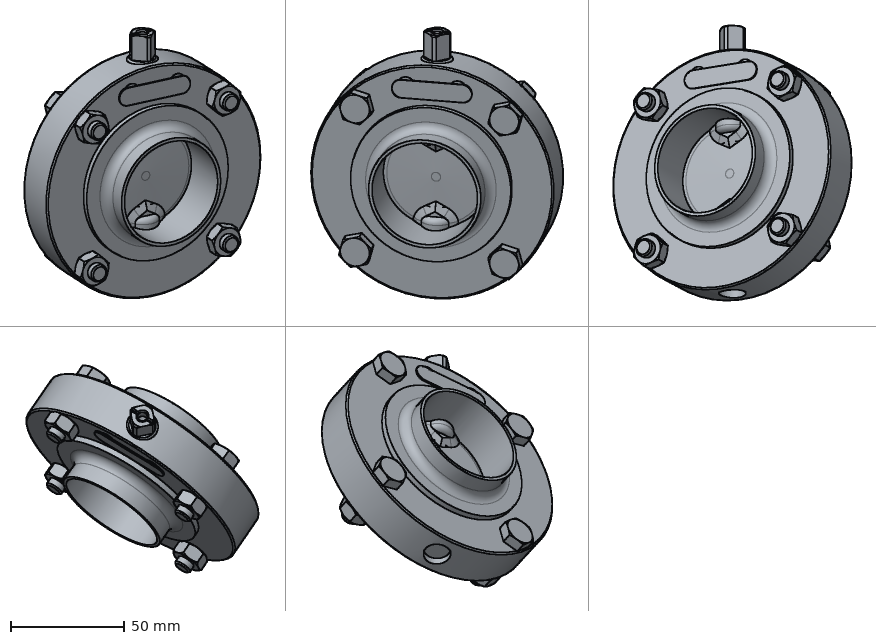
import cadquery as cq
import math


FLANGE_DIAMETER = 110.0
FLANGE_WIDTH = 20.6
FLANGE_CHAMFER = 0.7

HUB_DIAMETER = 72.5
HUB_WIDTH = 26.2
PIPE_DIAMETER = 50.8
PIPE_LENGTH = 50.0
PIPE_FILLET = 4.2
BORE_DIAMETER = 47.8

DISC_TIP_DIAMETER = 4.2
DISC_FACE_DIAMETER = 44.7
DISC_CENTRE_WIDTH = 5.4
DISC_RIM_WIDTH = 4.4
DISC_EDGE_WIDTH = 4.2

COLLAR_DIAMETER = 15.0
COLLAR_INNER_END = 18.5
COLLAR_ROUNDING = 2.7
COLLAR_OVERLAP = 0.6
GUSSET_HALF_WIDTH = 10.2
GUSSET_SHOULDER_HALF_WIDTH = 5.9
GUSSET_SHOULDER_HEIGHT = 14.8
GUSSET_ARC_HALF_WIDTH = 8.7
GUSSET_ARC_HEIGHT = 17.3
GUSSET_OUTER_HEIGHT = 20.3
GUSSET_TIP_HEIGHT = 11.5
GUSSET_TOP_HEIGHT = 28.2
GUSSET_ROOT_WIDTH = 4.8
GUSSET_WIDTH = 8.3
GUSSET_TAPER = 66

BOLT_COUNT = 4
FIRST_BOLT_ANGLE = 45
BOLT_CIRCLE_DIAMETER = 95.5
HEX_ACROSS_FLATS = 13.2
HEAD_END = -15.4
HEAD_CHAMFER = 0.4
NUT_END = 16.5
NUT_CHAMFER = 0.7
BOLT_DIAMETER = 8.0
BOLT_END = 20.2
BOLT_CHAMFER = 0.7

PAD_LENGTH = 36.3
PAD_HEIGHT = 8.5
PAD_CENTRE_Z = 43.2
PAD_TOTAL_WIDTH = 22.0
PIN_DIAMETER = 7.4
PIN_SPACING = 23.5
PIN_CENTRE_Z = 45.2
PIN_TOTAL_WIDTH = 20.8

TOTAL_HEIGHT = 122.5
STEM_TOP = TOTAL_HEIGHT - FLANGE_DIAMETER / 2
STEM_DIAMETER = 12.0
STEM_ACROSS_FLATS = 9.7
STEM_CHAMFER_WIDTH = 0.9
STEM_CHAMFER_HEIGHT = 0.6
STEM_HOLE_DIAMETER = 4.2
STEM_HOLE_DEPTH = 6.1
STEM_HOLE_TIP_DEPTH = 1.2
STEM_COUNTERSINK_DIAMETER = 5.6
STEM_GROOVE_WIDTH = 1.5
STEM_GROOVE_DEPTH = 0.9
BUSHING_DIAMETER = 14.2
BUSHING_TOP = 55.6
BUSHING_BASE_Z = 49.0
BOTTOM_HOLE_DEPTH = 3.7


def revolved_about_x(points):
    """Revolve a closed (x, radius) outline about the bore axis."""
    return cq.Workplane("XY").polyline(points).close().revolve(360, (0, 0, 0), (1, 0, 0))


def cylinder_x(diameter, start, end):
    return cq.Workplane("YZ").workplane(offset=start).circle(diameter / 2).extrude(end - start)


def make_body():
    flange = cylinder_x(FLANGE_DIAMETER, -FLANGE_WIDTH / 2, FLANGE_WIDTH / 2)
    flange = flange.faces("<X or >X").chamfer(FLANGE_CHAMFER)
    hub_x = HUB_WIDTH / 2
    hub_radius = HUB_DIAMETER / 2
    pipe_x = PIPE_LENGTH / 2
    pipe_radius = PIPE_DIAMETER / 2
    fillet_end = hub_x + PIPE_FILLET
    fillet_radius = pipe_radius + PIPE_FILLET
    fillet_middle = PIPE_FILLET * (1 - math.sqrt(0.5))
    half_hub = (
        cq.Workplane("XY")
        .lineTo(pipe_x, 0)
        .lineTo(pipe_x, pipe_radius)
        .lineTo(fillet_end, pipe_radius)
        .threePointArc((hub_x + fillet_middle, pipe_radius + fillet_middle), (hub_x, fillet_radius))
        .lineTo(hub_x, hub_radius)
        .lineTo(0, hub_radius)
        .close()
        .revolve(360, (0, 0, 0), (1, 0, 0))
    )
    body = flange.union(half_hub).union(half_hub.mirror("YZ"))
    return body.cut(cylinder_x(BORE_DIAMETER, -pipe_x, pipe_x))


def make_disc():
    bore_radius = BORE_DIAMETER / 2
    half_outline = [
        (DISC_CENTRE_WIDTH / 2, 0),
        (DISC_CENTRE_WIDTH / 2, DISC_TIP_DIAMETER / 2),
        (DISC_RIM_WIDTH / 2, DISC_FACE_DIAMETER / 2),
        (DISC_EDGE_WIDTH / 2, bore_radius),
    ]
    other_half = [(-x, radius) for x, radius in reversed(half_outline)]
    return revolved_about_x(half_outline + other_half)


def make_upper_collar():
    outer_end = BORE_DIAMETER / 2 + COLLAR_OVERLAP
    collar = (
        cq.Workplane("XY")
        .workplane(offset=COLLAR_INNER_END)
        .circle(COLLAR_DIAMETER / 2)
        .extrude(outer_end - COLLAR_INNER_END)
        .faces("<Z")
        .edges()
        .fillet(COLLAR_ROUNDING)
    )
    half_gusset = (
        cq.Workplane("YZ")
        .workplane(offset=GUSSET_ROOT_WIDTH / 2)
        .moveTo(0, GUSSET_TIP_HEIGHT)
        .lineTo(GUSSET_SHOULDER_HALF_WIDTH, GUSSET_SHOULDER_HEIGHT)
        .threePointArc(
            (GUSSET_ARC_HALF_WIDTH, GUSSET_ARC_HEIGHT),
            (GUSSET_HALF_WIDTH, GUSSET_OUTER_HEIGHT),
        )
        .lineTo(GUSSET_HALF_WIDTH, GUSSET_TOP_HEIGHT)
        .lineTo(-GUSSET_HALF_WIDTH, GUSSET_TOP_HEIGHT)
        .lineTo(-GUSSET_HALF_WIDTH, GUSSET_OUTER_HEIGHT)
        .threePointArc(
            (-GUSSET_ARC_HALF_WIDTH, GUSSET_ARC_HEIGHT),
            (-GUSSET_SHOULDER_HALF_WIDTH, GUSSET_SHOULDER_HEIGHT),
        )
        .close()
        .extrude((GUSSET_WIDTH - GUSSET_ROOT_WIDTH) / 2, taper=GUSSET_TAPER)
    )
    return collar.union(half_gusset).union(half_gusset.mirror("YZ"))


def hexagon(start, end, chamfer, chamfered_faces):
    """Hexagonal prism along X whose corners are cut by a cone at the chosen faces."""
    across_corners = HEX_ACROSS_FLATS / math.cos(math.radians(30))
    prism = cq.Workplane("YZ").workplane(offset=start).polygon(6, across_corners).extrude(end - start)
    corner_depth = (across_corners - HEX_ACROSS_FLATS) / 2
    envelope = cylinder_x(across_corners, start, end).faces(chamfered_faces).chamfer(chamfer, corner_depth)
    return prism.intersect(envelope)


def make_bolt():
    flange_x = FLANGE_WIDTH / 2
    head = hexagon(HEAD_END, -flange_x, HEAD_CHAMFER, "<X")
    nut = hexagon(flange_x, NUT_END, NUT_CHAMFER, "<X or >X")
    shank = cylinder_x(BOLT_DIAMETER, -flange_x, BOLT_END).faces(">X").chamfer(BOLT_CHAMFER)
    return head.union(nut).union(shank).translate((0, 0, BOLT_CIRCLE_DIAMETER / 2))


def make_label():
    pad = (
        cq.Workplane("YZ", origin=(-PAD_TOTAL_WIDTH / 2, 0, PAD_CENTRE_Z))
        .slot2D(PAD_LENGTH, PAD_HEIGHT)
        .extrude(PAD_TOTAL_WIDTH)
    )
    pins = (
        cq.Workplane("YZ", origin=(-PIN_TOTAL_WIDTH / 2, 0, PIN_CENTRE_Z))
        .pushPoints([(-PIN_SPACING / 2, 0), (PIN_SPACING / 2, 0)])
        .circle(PIN_DIAMETER / 2)
        .extrude(PIN_TOTAL_WIDTH)
    )
    return pad.union(pins)


def make_stem():
    height = STEM_TOP - BUSHING_BASE_Z
    stem = cq.Workplane("XY").workplane(offset=BUSHING_BASE_Z).circle(STEM_DIAMETER / 2).extrude(height)
    stem = stem.faces(">Z").chamfer(STEM_CHAMFER_HEIGHT, STEM_CHAMFER_WIDTH)

    flats_height = STEM_TOP - BUSHING_TOP
    outside_flats = (
        cq.Workplane("XY")
        .workplane(offset=BUSHING_TOP)
        .circle(STEM_DIAMETER)
        .rect(STEM_ACROSS_FLATS, STEM_ACROSS_FLATS)
        .extrude(flats_height)
        .rotate((0, 0, 0), (0, 0, 1), 45)
    )

    hole_radius = STEM_HOLE_DIAMETER / 2
    countersink_radius = STEM_COUNTERSINK_DIAMETER / 2
    hole_bottom = STEM_TOP - STEM_HOLE_DEPTH
    hole = (
        cq.Workplane("XZ")
        .polyline([
            (0, STEM_TOP),
            (countersink_radius, STEM_TOP),
            (hole_radius, STEM_TOP - (countersink_radius - hole_radius)),
            (hole_radius, hole_bottom),
            (0, hole_bottom - STEM_HOLE_TIP_DEPTH),
        ])
        .close()
        .revolve(360, (0, 0, 0), (0, 1, 0))
    )
    groove = (
        cq.Workplane("XZ", origin=(0, 0, STEM_TOP))
        .polyline([(-STEM_GROOVE_WIDTH / 2, 0), (0, -STEM_GROOVE_DEPTH), (STEM_GROOVE_WIDTH / 2, 0)])
        .close()
        .extrude(STEM_DIAMETER, both=True)
    )
    return stem.cut(outside_flats).cut(hole).cut(groove)


def make_bushing():
    return (
        cq.Workplane("XY")
        .workplane(offset=BUSHING_BASE_Z)
        .circle(BUSHING_DIAMETER / 2)
        .extrude(BUSHING_TOP - BUSHING_BASE_Z)
        .faces(">Z")
        .chamfer((BUSHING_DIAMETER - STEM_DIAMETER) / 2)
    )


def make_bottom_hole():
    """Blind hole opposite the stem, open at the bottom of the flange rim."""
    return (
        cq.Workplane("XY")
        .workplane(offset=-FLANGE_DIAMETER / 2)
        .circle(STEM_DIAMETER / 2)
        .extrude(BOTTOM_HOLE_DEPTH)
    )


collar = make_upper_collar()
result = make_body().union(make_disc()).union(collar).union(collar.mirror("XY"))

bolt = make_bolt()
for index in range(BOLT_COUNT):
    angle = FIRST_BOLT_ANGLE + index * 360 / BOLT_COUNT
    result = result.union(bolt.rotate((0, 0, 0), (1, 0, 0), angle))

result = result.union(make_label()).union(make_bushing()).union(make_stem()).cut(make_bottom_hole())